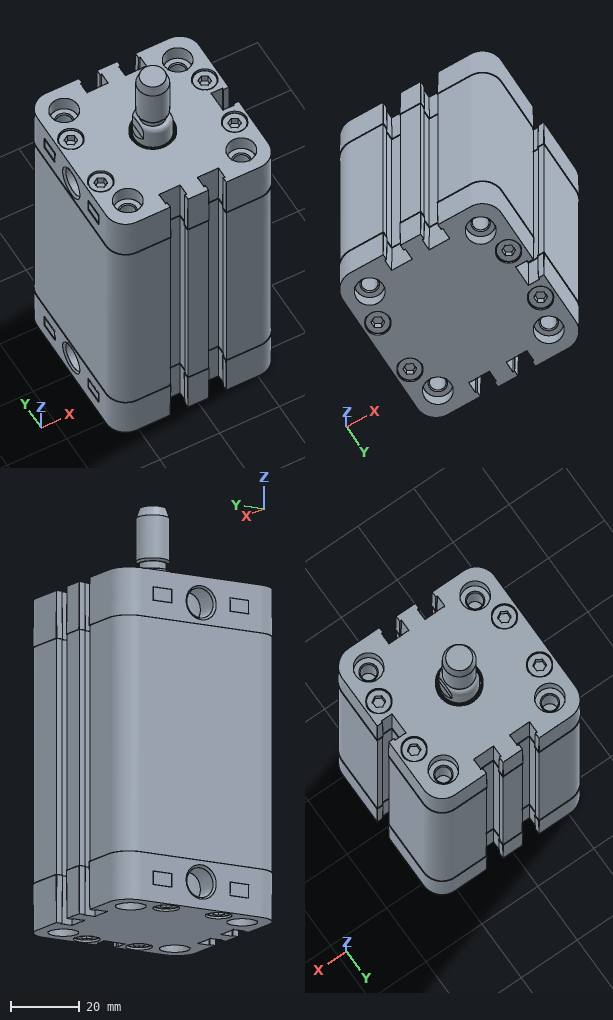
import cadquery as cq
import math


TOTAL_HEIGHT = 126.0
CYLINDER_HEIGHT = 100.0
CAP_HEIGHT = 14.5

SECTION_WIDTH = 54.4
CAP_JOINT_WIDTH = 54.8
CORNER_RADIUS = 6.5
CAP_DRAFT = math.degrees(math.atan((CAP_JOINT_WIDTH - SECTION_WIDTH) / 2 / CAP_HEIGHT))

SLOT_OFFSET = 6.4
SLOT_MOUTH_WIDTH = 5.9
SLOT_INNER_WIDTH = 7.0
SLOT_LIP_DEPTH = 1.9
SLOT_DEPTH = 5.7

MOUNT_OFFSET = 19.0
MOUNT_RECESS_DIAMETER = 9.0
MOUNT_RECESS_DEPTH = 5.0
MOUNT_HOLE_DIAMETER = 4.9
MOUNT_CHAMFER = 0.4

SCREW_X = 22.4
SCREW_Y = 9.0
SCREW_RECESS_DIAMETER = 7.7
SCREW_TOP_DIAMETER = 7.2
SCREW_RECESS_DEPTH = 0.6
SCREW_CHAMFER = (SCREW_RECESS_DIAMETER - SCREW_TOP_DIAMETER) / 2
SCREW_HEX_WIDTH = 3.4
SCREW_HEX_DIAMETER = SCREW_HEX_WIDTH / math.cos(math.pi / 6)
SCREW_HEX_DEPTH = 2.5

PORT_END_DISTANCE = 8.0
PORT_DIAMETER = 9.0
PORT_MOUTH_DIAMETER = 10.5
PORT_CHAMFER = (PORT_MOUTH_DIAMETER - PORT_DIAMETER) / 2
CORE_DIAMETER = 40.0

LABEL_OFFSET = 13.1
LABEL_WIDTH = 6.3
LABEL_HEIGHT = 4.0
LABEL_DEPTH = 0.3

WIPER_SEAT_DIAMETER = 14.0
WIPER_OUTER_DIAMETER = 13.7
WIPER_INNER_DIAMETER = 12.6
WIPER_GROOVE_DEPTH = 0.6
WIPER_CHAMFER = 0.3

ROD_DIAMETER = 12.0
SHOULDER_HEIGHT = 107.1
SHOULDER_FILLET = 1.5
NECK_DIAMETER = 8.0
STUD_DIAMETER = 10.0
STUD_START = 109.4
STUD_TIP_LENGTH = 3.0
STUD_TIP_DIAMETER = 8.0
STUD_END_DIAMETER = 8.6
STUD_CHAMFER = (STUD_DIAMETER - STUD_END_DIAMETER) / 2
FLATS_WIDTH = 10.0
FLATS_START = 102.7

CAP_JOINT_HEIGHT = CYLINDER_HEIGHT - CAP_HEIGHT
HALF_WIDTH = SECTION_WIDTH / 2


def slot_section(turn, offset):
    """Sketch of one T slot open to the +X side at Y = offset, then turned about Z."""
    lip_wall = HALF_WIDTH - SLOT_LIP_DEPTH
    floor = HALF_WIDTH - SLOT_DEPTH
    section = (
        cq.Sketch()
        .push([((HALF_WIDTH + floor) / 2, offset)])
        .rect(SLOT_DEPTH, SLOT_MOUTH_WIDTH)
        .push([((lip_wall + floor) / 2, offset)])
        .rect(lip_wall - floor, SLOT_INNER_WIDTH)
        .reset()
        .clean()
    )
    return section.moved(cq.Location(cq.Vector(), cq.Vector(0, 0, 1), turn))


def profile():
    """Rounded square with the sensor slots cut into three of its sides."""
    section = cq.Sketch().rect(SECTION_WIDTH, SECTION_WIDTH).vertices().fillet(CORNER_RADIUS).reset()
    section = section.face(slot_section(0, 0), mode="s")
    for turn in (90, -90):
        for offset in (-SLOT_OFFSET, SLOT_OFFSET):
            section = section.face(slot_section(turn, offset), mode="s")
    return section.clean()


def cylinder(diameter, top, depth):
    """Upright cylinder hanging down from the height top."""
    return cq.Workplane("XY", origin=(0, 0, top - depth)).circle(diameter / 2).extrude(depth)


def mounting_hole():
    """Cutter for a counterbored, chamfered hole through the top cap."""
    ledge = CYLINDER_HEIGHT - MOUNT_RECESS_DEPTH
    recess = cylinder(MOUNT_RECESS_DIAMETER, CYLINDER_HEIGHT, MOUNT_RECESS_DEPTH)
    hole = cylinder(MOUNT_HOLE_DIAMETER, ledge, CAP_HEIGHT - MOUNT_RECESS_DEPTH)
    mouth = cq.Solid.makeCone(
        MOUNT_HOLE_DIAMETER / 2 + MOUNT_CHAMFER, MOUNT_HOLE_DIAMETER / 2, MOUNT_CHAMFER,
        cq.Vector(0, 0, ledge), cq.Vector(0, 0, -1),
    )
    return recess.union(hole).union(cq.Workplane(mouth))


def screw_recess():
    """Cutter that leaves a sunk screw head with a chamfered rim and a hex socket."""
    head_top = CYLINDER_HEIGHT - SCREW_RECESS_DEPTH
    head = cylinder(SCREW_RECESS_DIAMETER, head_top, SCREW_CHAMFER * 2).faces(">Z").chamfer(SCREW_CHAMFER)
    recess = cylinder(SCREW_RECESS_DIAMETER, CYLINDER_HEIGHT, SCREW_RECESS_DEPTH + SCREW_CHAMFER).cut(head)
    socket = (
        cq.Workplane("XY", origin=(0, 0, head_top))
        .transformed(rotate=(0, 0, 90))
        .polygon(6, SCREW_HEX_DIAMETER)
        .extrude(-SCREW_HEX_DEPTH)
    )
    return recess.union(socket)


def port():
    """Cutter for the air port, from the -X face in to the round core."""
    port_height = CYLINDER_HEIGHT - PORT_END_DISTANCE
    face_x = -CAP_JOINT_WIDTH / 2
    bore = (
        cq.Workplane("YZ", origin=(face_x, 0, port_height))
        .circle(PORT_DIAMETER / 2)
        .extrude(-face_x)
        .cut(cylinder(CORE_DIAMETER, CYLINDER_HEIGHT, CAP_HEIGHT))
    )
    mouth = cq.Solid.makeCone(
        PORT_MOUTH_DIAMETER / 2, PORT_DIAMETER / 2, PORT_CHAMFER,
        cq.Vector(face_x, 0, port_height), cq.Vector(1, 0, 0),
    )
    return bore.union(cq.Workplane(mouth))


def label_panels():
    """Cutter for the two shallow rectangles beside the port, sunk from the drafted face."""
    mean_draft = (CAP_JOINT_WIDTH - SECTION_WIDTH) / 4
    return (
        cq.Workplane("YZ", origin=(-CAP_JOINT_WIDTH / 2, 0, CYLINDER_HEIGHT - CAP_HEIGHT / 2))
        .pushPoints([(-LABEL_OFFSET, 0), (LABEL_OFFSET, 0)])
        .rect(LABEL_WIDTH, LABEL_HEIGHT)
        .extrude(mean_draft + LABEL_DEPTH)
    )


def make_plain_cap():
    """End cap in its top position, before the rod bore is cut."""
    cap = (
        cq.Workplane("XY", origin=(0, 0, CYLINDER_HEIGHT))
        .placeSketch(profile())
        .extrude(-CAP_HEIGHT, taper=-CAP_DRAFT)
    )
    for x in (-1, 1):
        for y in (-1, 1):
            cap = cap.cut(mounting_hole().translate((x * MOUNT_OFFSET, y * MOUNT_OFFSET, 0)))
            cap = cap.cut(screw_recess().translate((x * SCREW_X, y * SCREW_Y, 0)))
    return cap.cut(port()).cut(label_panels())


def make_top_cap():
    """Cap with the rod bore and two thin grooves that outline the rod wiper."""
    rod_bore = cylinder(ROD_DIAMETER, CYLINDER_HEIGHT, CAP_HEIGHT)
    inner_groove = cylinder(WIPER_INNER_DIAMETER, CYLINDER_HEIGHT, WIPER_GROOVE_DEPTH)
    wiper = cylinder(WIPER_OUTER_DIAMETER, CYLINDER_HEIGHT, WIPER_GROOVE_DEPTH)
    wiper = wiper.faces(">Z").chamfer(WIPER_CHAMFER)
    outer_groove = cylinder(WIPER_SEAT_DIAMETER, CYLINDER_HEIGHT, WIPER_GROOVE_DEPTH).cut(wiper)
    return make_plain_cap().cut(rod_bore).cut(inner_groove).cut(outer_groove)


def make_bottom_cap():
    """The plain cap mirrored to the lower end."""
    return make_plain_cap().mirror("XY", (0, 0, CYLINDER_HEIGHT / 2))


def make_barrel():
    """Slotted extrusion between the two caps."""
    return (
        cq.Workplane("XY", origin=(0, 0, CAP_HEIGHT))
        .placeSketch(profile())
        .extrude(CAP_JOINT_HEIGHT - CAP_HEIGHT)
    )


def wrench_flat():
    """Cutter for the +X wrench flat, its lower end sloping out at 45 degrees."""
    flat_x = FLATS_WIDTH / 2
    run_out = ROD_DIAMETER / 2 - flat_x
    return (
        cq.Workplane("XZ")
        .moveTo(flat_x, SHOULDER_HEIGHT)
        .lineTo(flat_x, FLATS_START)
        .lineTo(flat_x + run_out, FLATS_START - run_out)
        .lineTo(flat_x + run_out, SHOULDER_HEIGHT)
        .close()
        .extrude(ROD_DIAMETER / 2, both=True)
    )


def make_rod():
    """Turned rod with a filleted shoulder, a neck, a stud and two wrench flats."""
    rod_radius = ROD_DIAMETER / 2
    stud_radius = STUD_DIAMETER / 2
    fillet_turn = SHOULDER_FILLET * math.sqrt(0.5)
    fillet_x = rod_radius - SHOULDER_FILLET
    fillet_z = SHOULDER_HEIGHT - SHOULDER_FILLET
    rod = (
        cq.Workplane("XZ")
        .moveTo(0, CAP_JOINT_HEIGHT)
        .lineTo(rod_radius, CAP_JOINT_HEIGHT)
        .lineTo(rod_radius, fillet_z)
        .threePointArc((fillet_x + fillet_turn, fillet_z + fillet_turn), (fillet_x, SHOULDER_HEIGHT))
        .lineTo(NECK_DIAMETER / 2, SHOULDER_HEIGHT)
        .lineTo(NECK_DIAMETER / 2, STUD_START)
        .lineTo(STUD_END_DIAMETER / 2, STUD_START)
        .lineTo(stud_radius, STUD_START + STUD_CHAMFER)
        .lineTo(stud_radius, TOTAL_HEIGHT - STUD_TIP_LENGTH)
        .lineTo(STUD_TIP_DIAMETER / 2, TOTAL_HEIGHT)
        .lineTo(0, TOTAL_HEIGHT)
        .close()
        .revolve(360, (0, 0, 0), (0, 1, 0))
    )
    return rod.cut(wrench_flat()).cut(wrench_flat().mirror("YZ"))


barrel = make_barrel()
top_cap = make_top_cap()
bottom_cap = make_bottom_cap()
rod = make_rod()

bodies = [barrel, top_cap, bottom_cap, rod]

result = cq.Compound.makeCompound([body.solids().val() for body in bodies])